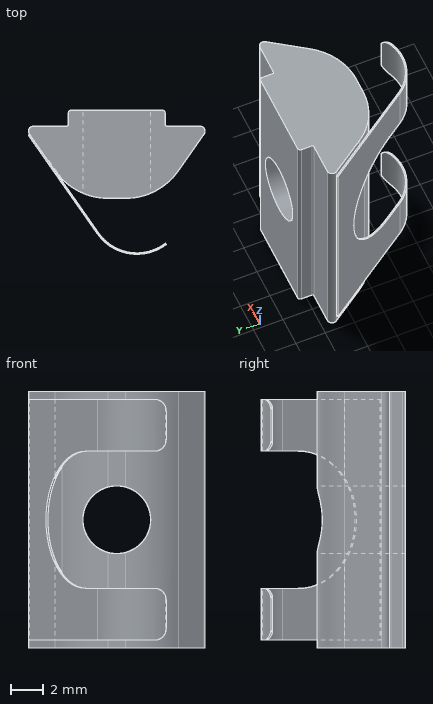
import cadquery as cq
import math

length = 16.0
body_half_width = 5.5
body_depth = 5.5
tongue_width = 6.05
tongue_depth = 1.0
flank_angle = 55.0
belly_radius = 4.02
tip_radius = 0.32
tongue_edge_radius = 0.2
tongue_root_radius = 0.1
hole_diameter = 4.2

spring_thickness = 0.1
spring_height = 15.0
spring_reach = 9.0
spring_start_y = -1.52
curl_radius = 3.0
curl_end_angle = 37.5
slot_width = 8.55
slot_left_x = -4.34
leg_corner_radius = 0.74
slot_recess = 0.056

flank = math.radians(flank_angle)
tip_x = body_half_width + tip_radius * (1 / math.tan(flank / 2) - 1)
belly_corner_x = tip_x - (body_depth - tongue_depth) / math.tan(flank)
slot_center_x = slot_left_x + slot_width / 2 * math.cos(flank)


def flank_x(y):
    """X of the -X flank plane at a given Y."""
    return -tip_x - (y + tongue_depth) / math.tan(flank)


def flank_y(x):
    """Y of the -X flank plane at a given X."""
    return -tongue_depth - (x + tip_x) * math.tan(flank)


def fillet_at(solid, x, y, radius):
    """Round the two mirrored lengthwise edges at +X and -X."""
    margin = 0.02
    for side in (-1, 1):
        edge_box = cq.selectors.BoxSelector(
            (side * x - margin, y - margin, -length),
            (side * x + margin, y + margin, length),
        )
        solid = solid.edges(edge_box).fillet(radius)
    return solid


def make_body():
    half_tongue = tongue_width / 2
    right_side = [
        (half_tongue, 0),
        (half_tongue, -tongue_depth),
        (tip_x, -tongue_depth),
        (belly_corner_x, -body_depth),
    ]
    left_side = [(-x, y) for x, y in reversed(right_side)]
    body = (
        cq.Workplane("XY")
        .polyline(right_side + left_side)
        .close()
        .extrude(length / 2, both=True)
    )
    body = fillet_at(body, belly_corner_x, -body_depth, belly_radius)
    body = fillet_at(body, tip_x, -tongue_depth, tip_radius)
    body = fillet_at(body, half_tongue, -tongue_depth, tongue_root_radius)
    body = fillet_at(body, half_tongue, 0, tongue_edge_radius)
    hole = cq.Workplane("XZ").circle(hole_diameter / 2).extrude(body_depth)
    return body.cut(hole)


def make_bent_strip():
    inner_radius = curl_radius - spring_thickness
    center_y = curl_radius - spring_reach
    inner_tangent_y = center_y - inner_radius * math.cos(flank)
    center_x = flank_x(inner_tangent_y) + inner_radius * math.sin(flank)

    def on_curl(radius, angle):
        """Point on the curl, with the angle measured from -Y toward +X."""
        return (center_x + radius * math.sin(angle), center_y - radius * math.cos(angle))

    end_angle = math.radians(curl_end_angle)
    inner_start = (flank_x(spring_start_y), spring_start_y)
    outer_start = (
        inner_start[0] - spring_thickness * math.sin(flank),
        inner_start[1] - spring_thickness * math.cos(flank),
    )
    return (
        cq.Workplane("XY")
        .moveTo(*outer_start)
        .lineTo(*on_curl(curl_radius, -flank))
        .threePointArc(on_curl(curl_radius, 0), on_curl(curl_radius, end_angle))
        .lineTo(*on_curl(inner_radius, end_angle))
        .threePointArc(on_curl(inner_radius, 0), on_curl(inner_radius, -flank))
        .lineTo(*inner_start)
        .close()
        .extrude(spring_height / 2, both=True)
    )


def make_slot_end(height):
    """Disc square to the -X flank, from the recess floor up to a height above the flank."""
    flank_plane = cq.Plane(
        origin=(slot_center_x, flank_y(slot_center_x), 0),
        xDir=(math.cos(flank), -math.sin(flank), 0),
        normal=(-math.sin(flank), -math.cos(flank), 0),
    )
    return (
        cq.Workplane(flank_plane)
        .workplane(offset=-slot_recess)
        .circle(slot_width / 2)
        .extrude(slot_recess + height)
    )


def make_spring():
    strip = make_bent_strip()
    slot_open = cq.Workplane("XY").box(
        length, 2 * spring_reach, slot_width, centered=(False, True, True)
    ).translate((slot_center_x, -spring_reach, 0))
    strip = strip.cut(make_slot_end(2 * spring_thickness)).cut(slot_open)

    bounds = strip.val().BoundingBox()
    leg_width = (spring_height - slot_width) / 2
    trimmed = cq.Workplane("XY").box(
        bounds.xlen, bounds.ylen, spring_height, centered=(False, False, True)
    ).translate((bounds.xmin, bounds.ymin, 0))
    tip_zone_x = bounds.xmax - 2 * leg_corner_radius
    trimmed = trimmed.cut(
        cq.Workplane("XY").box(length, length, 2 * length, centered=(False, True, True))
        .translate((tip_zone_x, bounds.center.y, 0))
    )
    for side in (-1, 1):
        leg_tip = (
            cq.Workplane("XY")
            .box(4 * leg_corner_radius, bounds.ylen, leg_width)
            .edges("|Y and >X")
            .fillet(leg_corner_radius)
            .translate((tip_zone_x, bounds.center.y, side * (slot_width + leg_width) / 2))
        )
        trimmed = trimmed.union(leg_tip)
    return strip.intersect(trimmed)


body = make_body().cut(make_slot_end(spring_thickness))
result = body.union(make_spring())